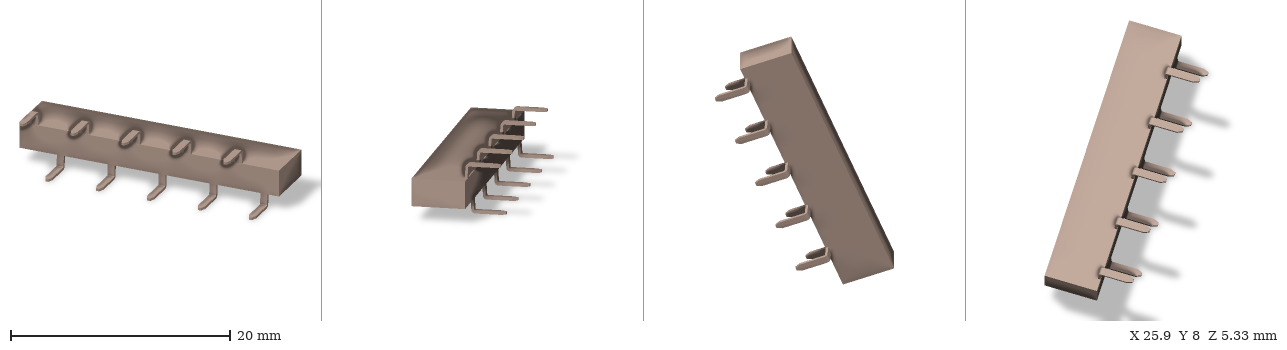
import cadquery as cq
import math

BODY_LENGTH = 25.9
BODY_DEPTH = 5.0
BODY_HEIGHT = 2.6

PIN_COUNT = 10
PIN_PITCH = 2.54
ROW_SPACING = 5.08
PIN_WIDTH = 0.7
PIN_THICKNESS = 0.25
TAIL_REACH = 3.0
TIP_LENGTH = 0.5
TIP_WIDTH = 0.3
LEG_LEAN = math.radians(4)
LEG_SETBACK = 0.03
LEG_EMBED = 0.5
BEND_INNER_RADIUS = 0.1
BEND_OUTER_RADIUS = BEND_INNER_RADIUS + PIN_THICKNESS

BODY_TOP = BODY_HEIGHT / 2
TAIL_TOP = (ROW_SPACING + PIN_THICKNESS) / 2
TAIL_BOTTOM = TAIL_TOP - PIN_THICKNESS
LEG_ROOT = BODY_TOP - LEG_EMBED
LEG_SECTION = PIN_THICKNESS / math.cos(LEG_LEAN)


def leg_front(z):
    """Y of the leg's front face at height z."""
    return LEG_SETBACK - (z - BODY_TOP) * math.tan(LEG_LEAN)


def leg_back(z):
    """Y of the leg's back face at height z."""
    return leg_front(z) + LEG_SECTION


def make_body():
    return cq.Workplane("XY").box(
        BODY_LENGTH, BODY_DEPTH, BODY_HEIGHT, centered=(True, False, True)
    )


def make_upper_pin():
    """Bent pin of the upper row, centred on X = 0."""
    side_outline = [
        (leg_front(LEG_ROOT), LEG_ROOT),
        (leg_front(TAIL_BOTTOM), TAIL_BOTTOM),
        (-TAIL_REACH, TAIL_BOTTOM),
        (-TAIL_REACH, TAIL_TOP),
        (leg_back(TAIL_TOP), TAIL_TOP),
        (leg_back(LEG_ROOT), LEG_ROOT),
    ]
    pin = cq.Workplane("YZ").polyline(side_outline).close().extrude(PIN_WIDTH / 2, both=True)

    inner_corner = (0, leg_front(TAIL_BOTTOM), TAIL_BOTTOM)
    outer_corner = (0, leg_back(TAIL_TOP), TAIL_TOP)
    pin = pin.edges(cq.NearestToPointSelector(inner_corner)).fillet(BEND_INNER_RADIUS)
    pin = pin.edges(cq.NearestToPointSelector(outer_corner)).fillet(BEND_OUTER_RADIUS)

    shoulder = -TAIL_REACH + TIP_LENGTH
    plan_outline = [
        (-TIP_WIDTH / 2, -TAIL_REACH),
        (TIP_WIDTH / 2, -TAIL_REACH),
        (PIN_WIDTH / 2, shoulder),
        (PIN_WIDTH / 2, BODY_DEPTH),
        (-PIN_WIDTH / 2, BODY_DEPTH),
        (-PIN_WIDTH / 2, shoulder),
    ]
    plan = cq.Workplane("XY").polyline(plan_outline).close().extrude(TAIL_TOP)
    return pin.intersect(plan)


def make_connector():
    connector = make_body()
    upper_pin = make_upper_pin()
    lower_pin = upper_pin.mirror("XY")
    for index in range(PIN_COUNT):
        pin = upper_pin if index % 2 == 0 else lower_pin
        x = (index - (PIN_COUNT - 1) / 2) * PIN_PITCH
        connector = connector.union(pin.translate((x, 0, 0)))
    return connector


result = make_connector()